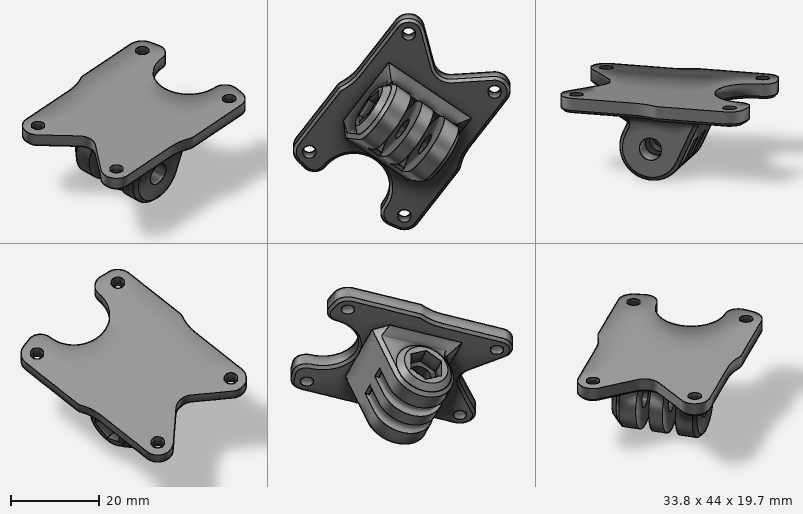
import cadquery as cq
import math


plate_length = 44.0
plate_thickness = 3.5
total_height = 19.7
plate_chamfer = 0.65
rear_half_width = 16.9
front_half_width = 15.55
hole_diameter = 3.05

front_corner_radius = 3.5
front_hole_x = front_half_width - front_corner_radius
front_hole_y = front_corner_radius
v_edge_angle = math.radians(40)
v_root_radius = 3.95

waist_start_y = 17.9
waist_hollow_radius = 12.3
waist_round_radius = 2.2

rear_corner_radius = 3.6
rear_hole_x = rear_half_width - rear_corner_radius
rear_hole_y = 40.0
lobe_radius = 3.12
lobe_y = plate_length - lobe_radius
notch_radius = 8.1
notch_bottom_y = 33.0
notch_y = notch_bottom_y + notch_radius
lobe_x = math.sqrt((notch_radius + lobe_radius) ** 2 - (notch_y - lobe_y) ** 2)

pivot_y = 20.25
knuckle_radius = 7.5
pivot_z = knuckle_radius - total_height
body_half_width = 9.55
body_chamfer = 0.9
arm_lean = math.radians(24.5)

flare_half_width = 11.55
flare_depth = 3.95
flare_angle = 45.0
flare_fillet = 1.0
back_half_width = body_half_width - body_chamfer
front_depth = flare_half_width - back_half_width
front_z = -plate_thickness - front_depth

boss_height = 1.45
boss_base_radius = 6.7
boss_end_radius = boss_base_radius - boss_height
bore_diameter = 5.2
nut_across_flats = 7.4
nut_pocket_depth = 3.85
slot_width = 3.1
middle_tooth_width = 3.2
slot_radius = 8.0
slot_ledge_height = 1.45

selection_margin = 0.05


def on_circle(center_x, center_y, radius, angle):
    """Point of a circle at an angle measured from +X towards +Y."""
    return (center_x + radius * math.cos(angle), center_y + radius * math.sin(angle))


def right_outline():
    """Start point and steps of the plate outline's right half, from the V root to the notch bottom.

    Each step is (end point, point on the way), where straight steps have no point on the way.
    """
    up = math.pi / 2
    v_normal = -up - v_edge_angle
    corner_start = on_circle(front_hole_x, front_hole_y, front_corner_radius, v_normal)
    root_end_x = v_root_radius * math.sin(v_edge_angle)
    root_end_y = corner_start[1] + (corner_start[0] - root_end_x) * math.tan(v_edge_angle)
    root_y = root_end_y - v_root_radius * math.cos(v_edge_angle)
    corner_middle = on_circle(front_hole_x, front_hole_y, front_corner_radius, v_normal / 2)

    step = rear_half_width - front_half_width
    waist_angle = math.acos(1 - step / (waist_hollow_radius + waist_round_radius))
    hollow_x = front_half_width + waist_hollow_radius
    round_x = rear_half_width - waist_round_radius
    round_y = waist_start_y + (waist_hollow_radius + waist_round_radius) * math.sin(waist_angle)

    def hollow_point(angle):
        return on_circle(hollow_x, waist_start_y, waist_hollow_radius, math.pi - angle)

    def round_point(angle):
        return on_circle(round_x, round_y, waist_round_radius, -angle)

    center_distance = math.hypot(rear_hole_x - lobe_x, rear_hole_y - lobe_y)
    center_line_angle = math.atan2(rear_hole_y - lobe_y, rear_hole_x - lobe_x)
    radius_step = rear_corner_radius - lobe_radius
    edge_normal = center_line_angle + math.acos(-radius_step / center_distance)
    meeting_angle = math.atan2(lobe_y - notch_y, lobe_x)

    def rear_corner_point(angle):
        return on_circle(rear_hole_x, rear_hole_y, rear_corner_radius, angle)

    def lobe_point(angle):
        return on_circle(lobe_x, lobe_y, lobe_radius, angle)

    def notch_point(angle):
        return on_circle(0, notch_y, notch_radius, angle)

    lobe_end = math.pi + meeting_angle
    start = (0, root_y + v_root_radius)
    steps = [
        ((root_end_x, root_end_y), on_circle(0, root_y, v_root_radius, up - v_edge_angle / 2)),
        (corner_start, None),
        ((front_half_width, front_hole_y), corner_middle),
        ((front_half_width, waist_start_y), None),
        (hollow_point(waist_angle), hollow_point(waist_angle / 2)),
        ((rear_half_width, round_y), round_point(waist_angle / 2)),
        ((rear_half_width, rear_hole_y), None),
        (rear_corner_point(edge_normal), rear_corner_point(edge_normal / 2)),
        (lobe_point(edge_normal), None),
        (lobe_point(lobe_end), lobe_point((edge_normal + lobe_end) / 2)),
        ((0, notch_bottom_y), notch_point((meeting_angle - up) / 2)),
    ]
    return start, steps


def make_plate():
    start, steps = right_outline()
    outline = cq.Workplane("XY").moveTo(*start)
    for end, middle in steps:
        if middle is None:
            outline = outline.lineTo(*end)
        else:
            outline = outline.threePointArc(middle, end)
    plate = outline.mirrorY().extrude(-plate_thickness).faces("<Z").chamfer(plate_chamfer)
    centers = [
        (side * x, y)
        for side in (-1, 1)
        for x, y in ((front_hole_x, front_hole_y), (rear_hole_x, rear_hole_y))
    ]
    holes = cq.Workplane("XY").pushPoints(centers).circle(hole_diameter / 2)
    return plate.cut(holes.extrude(-plate_thickness))


def across(x):
    """Workplane facing +X at the pivot; its local axes are Y and Z."""
    return cq.Workplane("YZ", origin=(x, pivot_y, pivot_z))


def along_arm():
    """Workplane at the pivot, square to the arm; local Y points to the arm's back."""
    direction = (0, math.sin(arm_lean), math.cos(arm_lean))
    return cq.Workplane(cq.Plane((0, pivot_y, pivot_z), (1, 0, 0), direction))


def make_arm():
    """Knuckle, leaning arm and front flare in one side profile, with its ends chamfered."""
    tangent_y = knuckle_radius * math.cos(arm_lean)
    tangent_z = knuckle_radius * math.sin(arm_lean)
    top_z = -plate_thickness - pivot_z
    root_y = arm_front_y(front_z) - pivot_y
    root_z = front_z - pivot_z
    back_top_y = tangent_y + (top_z + tangent_z) * math.tan(arm_lean)

    turn = math.radians(flare_angle) + arm_lean
    root_reach = flare_fillet * math.tan(turn / 2)
    arm_touch = (root_y - root_reach * math.sin(arm_lean), root_z - root_reach * math.cos(arm_lean))
    flare_step = root_reach * math.cos(math.radians(flare_angle))
    flare_touch = (root_y - flare_step, root_z + flare_step)
    profile = (
        across(-body_half_width)
        .moveTo(back_top_y, top_z)
        .lineTo(tangent_y, -tangent_z)
        .threePointArc((-tangent_z, -tangent_y), (-tangent_y, tangent_z))
        .lineTo(*arm_touch)
        .tangentArcPoint(flare_touch, relative=False)
        .lineTo(root_y - front_depth, top_z)
        .close()
    )
    arm = profile.extrude(2 * body_half_width)
    return arm.faces("<X or >X").edges("not >Z").chamfer(body_chamfer)


def arm_front_y(z):
    """Y of the arm's leaning front face at a height."""
    return pivot_y + (z - pivot_z) * math.tan(arm_lean) - knuckle_radius / math.cos(arm_lean)


def make_flare():
    """Tapered foot, trimmed at the back by the arm's back face and its two chamfers."""
    flare_front_y = arm_front_y(front_z) - front_depth
    reach = 2 * plate_length
    foot = (
        cq.Workplane("XY", origin=(0, flare_front_y + reach / 2, -plate_thickness))
        .rect(2 * flare_half_width, reach)
        .extrude(-flare_depth, taper=flare_angle)
    )
    trim = (
        along_arm()
        .polyline(
            [
                (-back_half_width, knuckle_radius),
                (back_half_width, knuckle_radius),
                (back_half_width + reach, knuckle_radius - reach),
                (-back_half_width - reach, knuckle_radius - reach),
            ]
        )
        .close()
        .extrude(reach)
    )
    return foot.intersect(trim)


def make_mount():
    """Arm and flare, with a round under the flare along each side and over the chamfer's corner."""
    mount = make_arm().union(make_flare())
    side_z = -plate_thickness - (flare_half_width - body_half_width)
    side_root_zone = cq.selectors.BoxSelector(
        (-flare_half_width, 0, side_z - selection_margin),
        (flare_half_width, plate_length, side_z + selection_margin),
    )
    side_roots = mount.edges("|Y").edges(side_root_zone)
    corner_roots = mount.edges("%PARABOLA")
    return side_roots.add(corner_roots).fillet(flare_fillet)


def make_boss():
    return (
        across(-body_half_width)
        .circle(boss_base_radius)
        .workplane(offset=-boss_height)
        .circle(boss_end_radius)
        .loft()
    )


def make_slots():
    """Two slots with a round floor about the pivot and a flat ledge out through the arm's back."""
    slot_x = (middle_tooth_width + slot_width) / 2
    slots = cq.Workplane()
    for side in (-1, 1):
        start = across(side * slot_x - slot_width / 2)
        slots = slots.add(start.circle(slot_radius).extrude(slot_width))
        ledge_height = slot_ledge_height + slot_radius
        opening = (
            start.center(slot_radius, slot_ledge_height - ledge_height / 2)
            .rect(2 * slot_radius, ledge_height)
            .extrude(slot_width)
        )
        slots = slots.add(opening)
    return slots.combine()


def make_bore():
    boss_face = -body_half_width - boss_height
    bore = across(boss_face).circle(bore_diameter / 2).extrude(boss_height + 2 * body_half_width)
    corners = nut_across_flats / math.cos(math.pi / 6)
    nut = across(boss_face).transformed(rotate=(0, 0, 90)).polygon(6, corners)
    return bore.union(nut.extrude(nut_pocket_depth))


mount = make_mount().cut(make_slots()).union(make_boss()).cut(make_bore())
result = make_plate().union(mount)